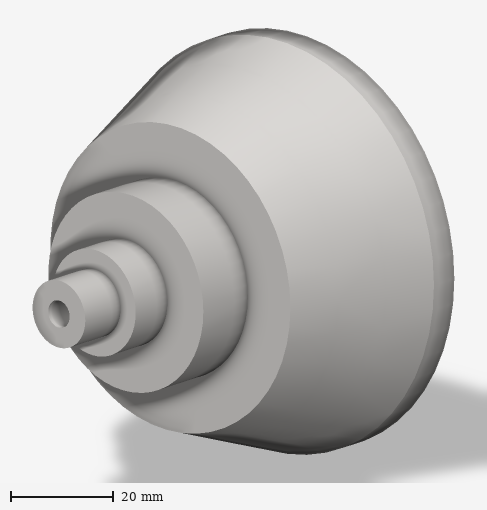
import cadquery as cq

rim_diameter = 83.5
cone_end_diameter = 61.95
large_step_diameter = 40.0
middle_step_diameter = 21.5
tip_diameter = 13.6
bore_diameter = 5.5

total_length = 68.8
rim_length = 6.0
cone_length = 30.0
large_step_length = 13.1
middle_step_length = 9.35

cone_start = -rim_length
cone_end = cone_start - cone_length
large_step_end = cone_end - large_step_length
middle_step_end = large_step_end - middle_step_length
tip_end = -total_length


def bored_section(start, end, start_diameter, end_diameter):
    """Bored round section between two Y stations, straight or tapered."""
    bore_radius = bore_diameter / 2
    return (
        cq.Workplane("XY")
        .moveTo(bore_radius, start)
        .lineTo(start_diameter / 2, start)
        .lineTo(end_diameter / 2, end)
        .lineTo(bore_radius, end)
        .close()
        .revolve(360, (0, 0, 0), (0, 1, 0))
    )


rim = bored_section(0, cone_start, rim_diameter, rim_diameter)
cone = bored_section(cone_start, cone_end, rim_diameter, cone_end_diameter)
large_step = bored_section(cone_end, large_step_end, large_step_diameter, large_step_diameter)
middle_step = bored_section(large_step_end, middle_step_end, middle_step_diameter, middle_step_diameter)
tip = bored_section(middle_step_end, tip_end, tip_diameter, tip_diameter)

result = rim.union(cone).union(large_step).union(middle_step).union(tip)